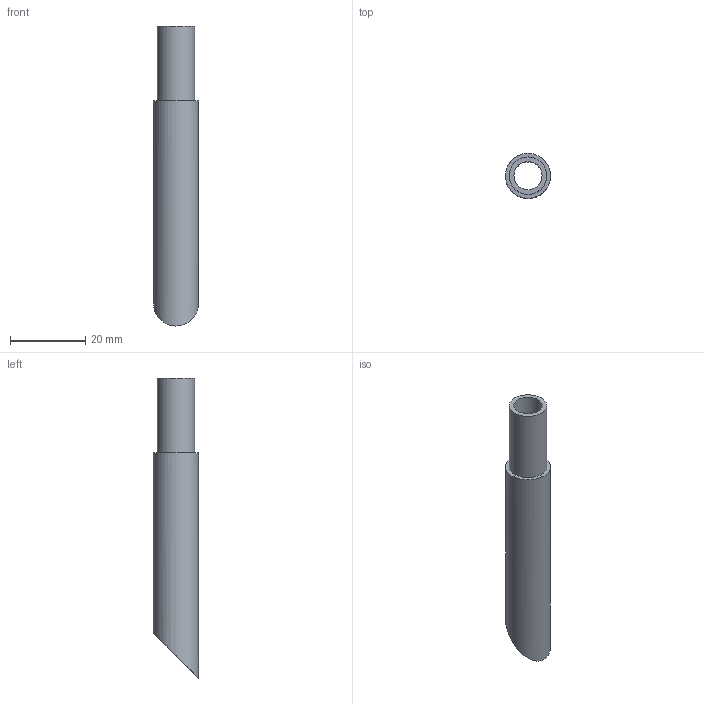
import cadquery as cq
import math

body_diameter = 12.0
spigot_diameter = 10.0
bore_diameter = 7.5
total_length = 80.0
spigot_length = 20.0
tip_angle = 45.0

body_length = total_length - spigot_length
body_radius = body_diameter / 2
tip_rise = body_diameter * math.tan(math.radians(tip_angle))


def make_stepped_tube():
    """Body along Z with a narrower spigot on top and a bore right through."""
    body = cq.Workplane("XY").circle(body_radius).extrude(body_length)
    spigot = (
        cq.Workplane("XY")
        .workplane(offset=body_length)
        .circle(spigot_diameter / 2)
        .extrude(spigot_length)
    )
    bore = cq.Workplane("XY").circle(bore_diameter / 2).extrude(total_length)
    return body.union(spigot).cut(bore)


def make_tip_wedge():
    """Wedge below the slanted end, which is lowest at -Y and rises towards +Y."""
    return (
        cq.Workplane("YZ")
        .moveTo(-body_radius, 0)
        .lineTo(body_radius, 0)
        .lineTo(body_radius, tip_rise)
        .close()
        .extrude(body_radius, both=True)
    )


result = make_stepped_tube().cut(make_tip_wedge())